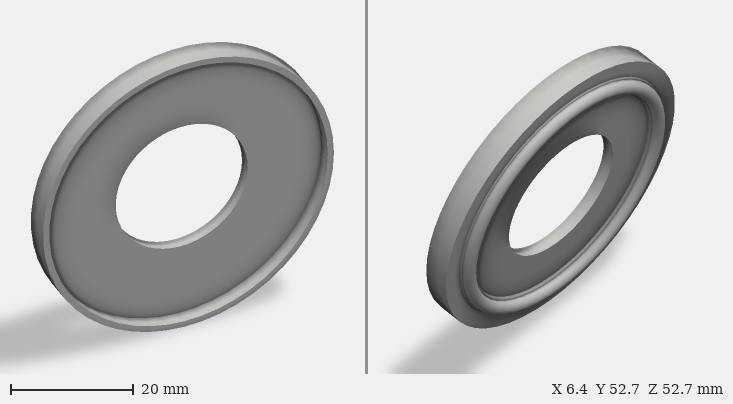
import cadquery as cq

outer_diameter = 52.7
bore_diameter = 23.9
total_depth = 6.4
rim_depth = 4.55

web_proud_at_bore = 0.1
web_sunk_at_bead = 0.1
web_back_depth = 2.05
recess_diameter = 50.5

bead_inner_diameter = 41.1
bead_outer_diameter = 45.9
inner_root_fillet = 0.5
outer_root_fillet = 0.35

face_x = total_depth - rim_depth
web_back_x = face_x + web_back_depth
bore_edge_x = face_x - web_proud_at_bore
outer_root_x = face_x + web_sunk_at_bead
bore_radius = bore_diameter / 2
bead_inner = bead_inner_diameter / 2
bead_outer = bead_outer_diameter / 2
bead_middle = (bead_inner + bead_outer) / 2
crest_radius = (bead_outer - bead_inner) / 2
inner_root_radius = bead_inner - inner_root_fillet
outer_root_radius = bead_outer + outer_root_fillet

cone_slope = (outer_root_x - bore_edge_x) / (outer_root_radius - bore_radius)
inner_root_x = bore_edge_x + cone_slope * (inner_root_radius - bore_radius)


def revolve_about_x(profile):
    """Turn a closed profile, drawn as (x, radius), fully around the X axis."""
    return profile.revolve(360, (0, 0, 0), (1, 0, 0))


def make_flange():
    """Bored disc with a conical web face and a cylindrical recess behind the web."""
    profile = (
        cq.Workplane("XY")
        .moveTo(bore_edge_x, bore_radius)
        .lineTo(outer_root_x, outer_root_radius)
        .lineTo(face_x, outer_root_radius)
        .lineTo(face_x, outer_diameter / 2)
        .lineTo(total_depth, outer_diameter / 2)
        .lineTo(total_depth, recess_diameter / 2)
        .lineTo(web_back_x, recess_diameter / 2)
        .lineTo(web_back_x, bore_radius)
        .close()
    )
    return revolve_about_x(profile)


def make_bead():
    """Half-round crest on short straight flanks, flared by a fillet at each root."""
    profile = (
        cq.Workplane("XY")
        .moveTo(web_back_x, inner_root_radius)
        .lineTo(inner_root_x, inner_root_radius)
        .radiusArc((inner_root_x - inner_root_fillet, bead_inner), inner_root_fillet)
        .lineTo(crest_radius, bead_inner)
        .threePointArc((0, bead_middle), (crest_radius, bead_outer))
        .lineTo(outer_root_x - outer_root_fillet, bead_outer)
        .radiusArc((outer_root_x, outer_root_radius), outer_root_fillet)
        .lineTo(web_back_x, outer_root_radius)
        .close()
    )
    return revolve_about_x(profile)


result = make_flange().union(make_bead())